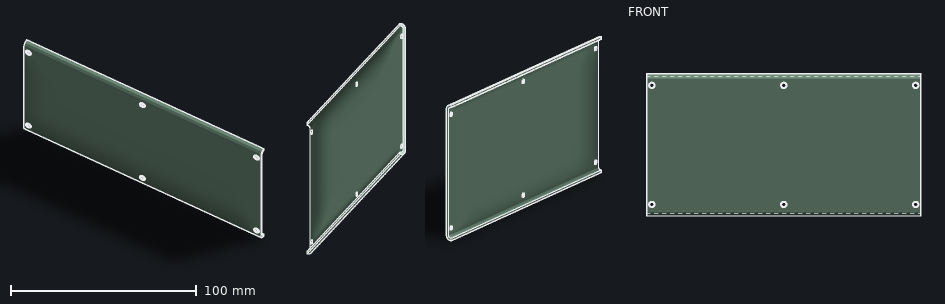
import cadquery as cq

length = 147.5
depth = 3.2
height = 76.5
thickness = 1.5

bend_outer_radius = 3.0
bend_inner_radius = bend_outer_radius - thickness
lip_length = depth - bend_outer_radius

hole_diameter = 2.4
counterbore_diameter = 3.4
counterbore_depth = 0.5
hole_end_offset = 2.8
hole_row_spacing = 64.0
hole_columns = 3
hole_rows = 2

front_y = -depth / 2
bend_center_y = front_y + bend_outer_radius


def make_panel():
    """Flat sheet between the two bends."""
    flat_height = height - 2 * bend_outer_radius
    return cq.Workplane("XY").box(length, thickness, flat_height).translate((0, front_y + thickness / 2, 0))


def make_top_edge():
    """Quarter ring that turns the sheet from vertical to horizontal, with its lip."""
    center_z = height / 2 - bend_outer_radius
    ring = (
        cq.Workplane("YZ", origin=(-length / 2, 0, 0))
        .center(bend_center_y, center_z)
        .circle(bend_outer_radius)
        .circle(bend_inner_radius)
        .extrude(length)
    )
    quarter = cq.Workplane("XY").box(
        length, bend_outer_radius, bend_outer_radius, centered=(True, False, False)
    ).translate((0, front_y, center_z))
    lip = cq.Workplane("XY").box(
        length, lip_length, thickness, centered=(True, False, False)
    ).translate((0, bend_center_y, height / 2 - thickness))
    return ring.intersect(quarter).union(lip)


def cut_screw_holes(body):
    """Drill through the sheet, with the counterbores on its front face."""
    column_spacing = (length - 2 * hole_end_offset) / (hole_columns - 1)
    return (
        body.copyWorkplane(cq.Workplane("XZ", origin=(0, front_y, 0)))
        .rarray(column_spacing, hole_row_spacing, hole_columns, hole_rows)
        .cboreHole(hole_diameter, counterbore_diameter, counterbore_depth)
    )


top_edge = make_top_edge()
bottom_edge = top_edge.mirror("XY")
sheet = make_panel().union(top_edge).union(bottom_edge)
result = cut_screw_holes(sheet)